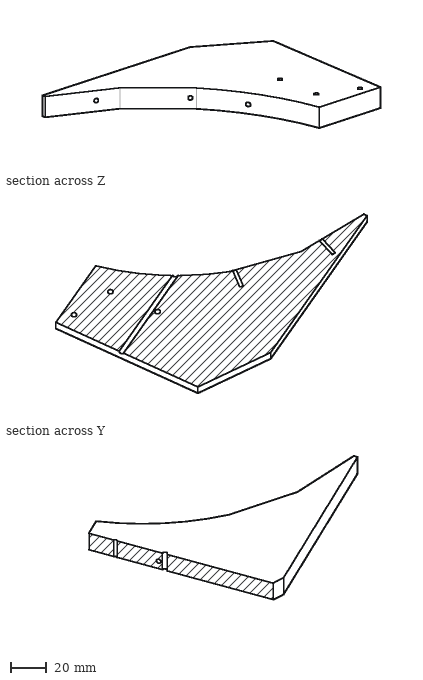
import cadquery as cq
import math

width = 115.9
length = 151.7
thickness = 12.7
corner_height = 41.3
corner_angle = 30.0
corner_width = corner_height * math.tan(math.radians(corner_angle))

tip = (2.3, 0)
flat_joint = (20.2, 40.2)
arc_start = (48.5, 72.5)
arc_middle = (78.5, 92.4)
arc_end = (width, 105.9)

vertical_hole_diameter = 2.7
vertical_hole_centers = [(109.5, 141.8), (99.7, 117.7), (69.6, 116.8)]

edge_hole_diameter = 2.6
through_hole_x = 73.4
through_hole_z = 5.8
blind_hole_z = 6.7
blind_hole_depth = 12.1
blind_holes = [(tip, flat_joint, 14.5), (flat_joint, arc_start, 46.4)]


def make_plate():
    return (
        cq.Workplane("XY")
        .moveTo(0, 0)
        .lineTo(*tip)
        .lineTo(*flat_joint)
        .lineTo(*arc_start)
        .threePointArc(arc_middle, arc_end)
        .lineTo(width, length)
        .lineTo(corner_width, length)
        .lineTo(0, length - corner_height)
        .close()
        .extrude(thickness)
    )


def edge_drill(x, y, z, angle, depth):
    """Cylinder along a horizontal direction, starting at (x, y, z)."""
    radians = math.radians(angle)
    direction = cq.Vector(math.cos(radians), math.sin(radians), 0)
    return cq.Solid.makeCylinder(edge_hole_diameter / 2, depth, cq.Vector(x, y, z), direction)


plate = make_plate()

vertical_drills = (
    cq.Workplane("XY")
    .pushPoints(vertical_hole_centers)
    .circle(vertical_hole_diameter / 2)
    .extrude(thickness)
)
plate = plate.cut(vertical_drills)

plate = plate.cut(edge_drill(through_hole_x, 0, through_hole_z, 90.0, length))

for flat_start, flat_end, mouth_x in blind_holes:
    flat_dx = flat_end[0] - flat_start[0]
    flat_dy = flat_end[1] - flat_start[1]
    mouth_y = flat_start[1] + (mouth_x - flat_start[0]) * flat_dy / flat_dx
    inward_angle = math.degrees(math.atan2(flat_dy, flat_dx)) + 90.0
    plate = plate.cut(edge_drill(mouth_x, mouth_y, blind_hole_z, inward_angle, blind_hole_depth))

result = plate